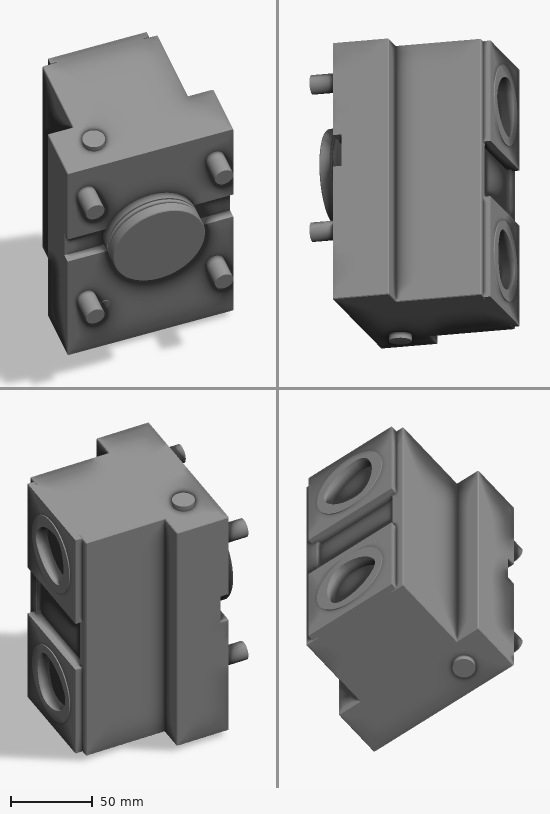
import cadquery as cq
import math


block_height = 164.0
flange_width = 108.0
flange_depth = 35.7
nose_width = 75.1
block_depth = 89.7
edge_chamfer = 0.5

pad_size = 64.3
pad_face_x = -94.2
pad_plug_width = 56.6
disc_diameter = 50.0
disc_height = 0.7
socket_tip_reach = 19.7
socket_flat_reach = 17.3
socket_depth = 8.0
lobe_count = 3
lobe_pitch_angle = 360 / lobe_count
lobe_half_angle = lobe_pitch_angle / 4

pocket_width = 58.0
pocket_depth = 3.0
pocket_corner_radius = 5.0
pocket_overlap = 1.7

spigot_z = 12.9
spigot_diameter = 60.0
spigot_length = 15.6
spigot_chamfer = 0.5
groove_start = 4.8
groove_width = 4.3
groove_depth = 2.2
ring_radius = 1.5
keyway_width = 20.0
keyway_depth = 5.7

root_depth = 5.1
pin_diameter = 12.0
pin_length = 16.6
pin_y = 42.0
pin_z_offset = 47.2
plug_diameter = 7.2
plug_height = 0.7
plug_z = -44.8
button_diameter = 14.0
button_height = 3.8
button_x = -18.9
button_y = -30.0

block_front_x = -block_depth
socket_face_x = pad_face_x - disc_height
pad_z = (block_height - pad_size) / 2


def box(x_start, x_end, width, height, z=0.0):
    """Box between two X positions, centred on Y = 0 and on the given Z."""
    return (
        cq.Workplane("YZ", origin=(x_start, 0, z))
        .rect(width, height)
        .extrude(x_end - x_start)
    )


def rod(x_start, x_end, diameter, y=0.0, z=0.0):
    """Round rod along X."""
    return (
        cq.Workplane("YZ", origin=(x_start, y, z))
        .circle(diameter / 2)
        .extrude(x_end - x_start)
    )


def make_block():
    """T-shaped block, chamfered on its outer edges except around the back face."""
    flange = box(-flange_depth, 0, flange_width, block_height)
    nose = box(block_front_x, -flange_depth, nose_width, block_height)
    inner_corners = cq.selectors.BoxSelector(
        (-flange_depth - edge_chamfer, -nose_width / 2 - edge_chamfer, -edge_chamfer),
        (-flange_depth + edge_chamfer, nose_width / 2 + edge_chamfer, edge_chamfer),
    )
    outer_edges = cq.StringSyntaxSelector("not >X") - inner_corners
    return flange.union(nose).edges(outer_edges).chamfer(edge_chamfer)


def rounded_box(depth, width, height, corner_radius):
    """Box sunk into the front face of the nose, with rounded corners."""
    block = box(block_front_x, block_front_x + depth, width, height)
    return block.edges("|X").fillet(corner_radius)


def make_pocket_cutter():
    """Rounded pocket between the pads, widened by a chamfer at its mouth."""
    height = block_height - 2 * pad_size + 2 * pocket_overlap
    pocket = rounded_box(pocket_depth, pocket_width, height, pocket_corner_radius)
    mouth = rounded_box(
        2 * edge_chamfer,
        pocket_width + 2 * edge_chamfer,
        height + 2 * edge_chamfer,
        pocket_corner_radius + edge_chamfer,
    )
    return pocket.union(mouth.faces(">X").chamfer(edge_chamfer))


def make_socket_cutter(tip_direction, z):
    """Three-lobed constant-width socket, with one lobe pointing along +Y or -Y."""
    width = socket_tip_reach + socket_flat_reach
    centre_reach = (2 * socket_tip_reach - width) / (2 - math.sqrt(3))
    lobe_radius = socket_tip_reach - centre_reach
    flat_radius = width - lobe_radius

    def point_on_arc(lobe, radius, angle):
        """Point at a radius and angle, in degrees, around the centre of one lobe."""
        centre_angle = math.radians(lobe_pitch_angle * lobe)
        arc_angle = math.radians(angle)
        y = centre_reach * math.cos(centre_angle) + radius * math.cos(arc_angle)
        along_z = centre_reach * math.sin(centre_angle) + radius * math.sin(arc_angle)
        return (tip_direction * y, along_z)

    outline = cq.Workplane("YZ", origin=(socket_face_x, 0, z))
    outline = outline.moveTo(*point_on_arc(0, lobe_radius, -lobe_half_angle))
    for lobe in range(lobe_count):
        lobe_angle = lobe_pitch_angle * lobe
        flat_centre = (lobe + 2) % lobe_count
        outline = outline.threePointArc(
            point_on_arc(lobe, lobe_radius, lobe_angle),
            point_on_arc(lobe, lobe_radius, lobe_angle + lobe_half_angle),
        ).threePointArc(
            point_on_arc(flat_centre, flat_radius, lobe_angle + 2 * lobe_half_angle),
            point_on_arc(flat_centre, flat_radius, lobe_angle + 3 * lobe_half_angle),
        )
    return outline.close().extrude(socket_depth)


def make_pad(z):
    """Square pad on the nose, plugged into it and carrying a raised disc."""
    plate = box(pad_face_x, block_front_x, pad_size, pad_size, z)
    plug = box(block_front_x, block_front_x + pocket_depth, pad_plug_width, pad_size, z)
    disc = rod(socket_face_x, pad_face_x, disc_diameter, z=z)
    return plate.union(plug).union(disc)


def make_keyway_cutter():
    """Keyway across the back face, level with the spigot."""
    return box(-keyway_depth, 0, flange_width, keyway_width, spigot_z)


def make_spigot():
    """Spigot standing on the keyway floor, with an O-ring seated in its groove."""
    radius = spigot_diameter / 2
    ring_centre_radius = radius - ring_radius
    ring_end = groove_start + 2 * ring_radius
    groove_end = groove_start + groove_width
    floor_radius = radius - groove_depth
    profile = (
        cq.Workplane("XY", origin=(0, 0, spigot_z))
        .moveTo(-keyway_depth, 0)
        .lineTo(-keyway_depth, radius)
        .lineTo(groove_start, radius)
        .lineTo(groove_start, ring_centre_radius)
        .threePointArc((groove_start + ring_radius, radius), (ring_end, ring_centre_radius))
        .lineTo(ring_end, floor_radius)
        .lineTo(groove_end, floor_radius)
        .lineTo(groove_end, radius)
        .lineTo(spigot_length - spigot_chamfer, radius)
        .lineTo(spigot_length, radius - spigot_chamfer)
        .lineTo(spigot_length, 0)
        .close()
    )
    return profile.revolve(360, (0, 0, 0), (1, 0, 0))


result = make_block().cut(make_pocket_cutter()).cut(make_keyway_cutter())

for side in (1, -1):
    result = result.union(make_pad(side * pad_z))
    result = result.cut(make_socket_cutter(side, side * pad_z))

result = result.union(make_spigot())

for y in (-pin_y, pin_y):
    for z in (spigot_z - pin_z_offset, spigot_z + pin_z_offset):
        result = result.union(rod(-root_depth, pin_length, pin_diameter, y, z))

result = result.union(rod(-root_depth, plug_height, plug_diameter, button_y, plug_z))

button_span = block_height + 2 * button_height
buttons = (
    cq.Workplane("XY", origin=(button_x, button_y, -button_span / 2))
    .circle(button_diameter / 2)
    .extrude(button_span)
)
result = result.union(buttons)